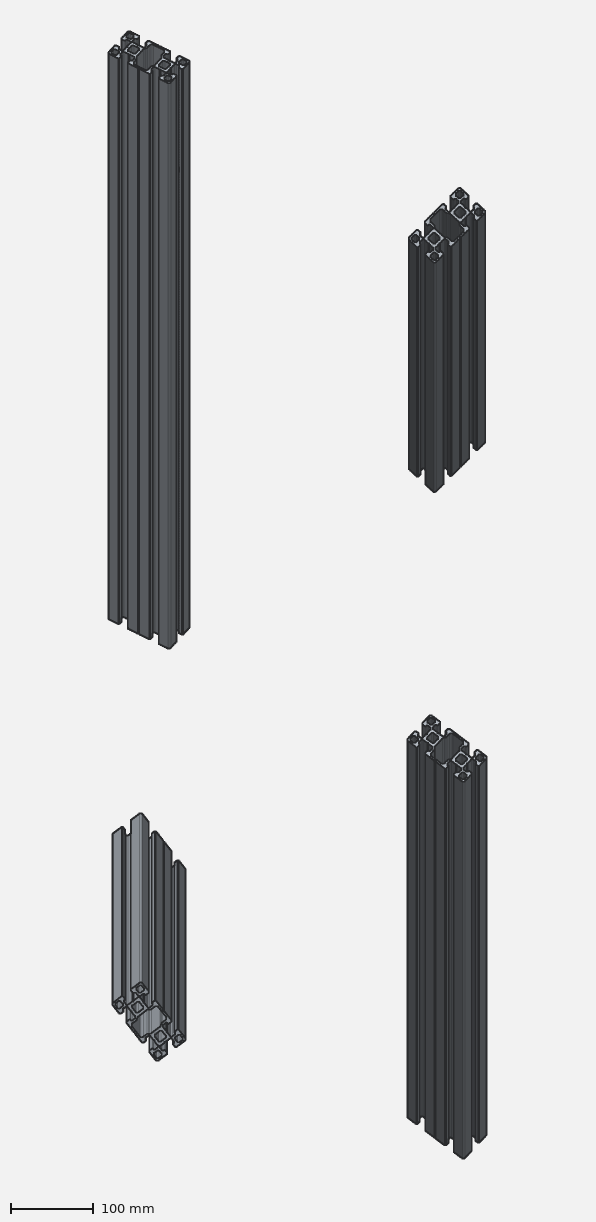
import cadquery as cq

LENGTH = 1000.0
WIDTH = 90.0
DEPTH = 45.0
CORNER_RADIUS = 2.5

SLOT_OFFSET = WIDTH / 4
OPENING_WIDTH = 12.0
LIP_CHAMFER = 1.0
LIP_THICKNESS = 6.0
LIP_INNER_RADIUS = 0.5
CAVITY_WIDTH = 18.0
CAVITY_RADIUS = 1.5
SLOT_DEPTH = 13.0

GROOVE_WIDTH = 2.0
GROOVE_DEPTH = 0.7

CORNER_WALL = 2.5
CORNER_HOLLOW_SIZE = 8.0
CORNER_HOLLOW_RADIUS = 2.0

CORE_HOLLOW_SIZE = 11.0
CORE_HOLLOW_RADIUS = 2.0

CENTRE_WALL = 2.6
CENTRE_NARROW_WIDTH = 21.0
CENTRE_WIDE_WIDTH = 26.0
CENTRE_WIDE_DEPTH = 16.0
CENTRE_STEP_RISE = 2.5
CENTRE_RADIUS = 3.0

Z_BOTTOM = -LENGTH / 2


def base_plane():
    """Workplane at the lower end of the profile."""
    return cq.Workplane("XY", origin=(0, 0, Z_BOTTOM))


def bar(width, depth, radius, x=0, y=0):
    """Full-length rectangular bar with rounded corners and its axis at (x, y)."""
    return base_plane().center(x, y).rect(width, depth).extrude(LENGTH).edges("|Z").fillet(radius)


def prism(points):
    """Full-length prism with the given closed outline."""
    return base_plane().polyline(points).close().extrude(LENGTH)


def turn(solid, angle):
    """Turn a solid about the Z axis."""
    return solid.rotate((0, 0, 0), (0, 0, 1), angle)


def marking_groove():
    """V groove that opens upward (+Y) at the origin."""
    return prism([(-GROOVE_WIDTH / 2, 0), (0, -GROOVE_DEPTH), (GROOVE_WIDTH / 2, 0)])


def t_slot():
    """T-slot that opens upward (+Y), with the middle of its opening at the origin."""
    half_opening = OPENING_WIDTH / 2
    mouth_half_width = half_opening + LIP_CHAMFER
    mouth = prism([
        (-mouth_half_width, 0),
        (-half_opening, -LIP_CHAMFER),
        (half_opening, -LIP_CHAMFER),
        (mouth_half_width, 0),
    ])
    cavity_depth = SLOT_DEPTH - LIP_THICKNESS
    cavity = bar(CAVITY_WIDTH, cavity_depth, CAVITY_RADIUS, y=-LIP_THICKNESS - cavity_depth / 2)
    opening_depth = LIP_THICKNESS + cavity_depth / 2 - LIP_CHAMFER
    opening = (
        base_plane()
        .center(0, -LIP_CHAMFER - opening_depth / 2)
        .rect(OPENING_WIDTH, opening_depth)
        .extrude(LENGTH)
    )
    slot = cavity.union(opening)
    reach = LIP_INNER_RADIUS
    lip_edges = cq.selectors.BoxSelector(
        (-half_opening - reach, -LIP_THICKNESS - reach, -LENGTH),
        (half_opening + reach, -LIP_THICKNESS + reach, LENGTH),
    )
    slot = slot.edges("|Z").edges(lip_edges).fillet(LIP_INNER_RADIUS)
    return slot.union(mouth).union(marking_groove().translate((0, -SLOT_DEPTH, 0)))


def centre_hollow():
    """Central hollow with a wide middle and narrower ends."""
    half_narrow = CENTRE_NARROW_WIDTH / 2
    half_wide = CENTRE_WIDE_WIDTH / 2
    step_y = CENTRE_WIDE_DEPTH / 2
    right_side = [
        (half_narrow, DEPTH / 2 - CENTRE_WALL),
        (half_narrow, step_y + CENTRE_STEP_RISE),
        (half_wide, step_y),
        (half_wide, -step_y),
        (half_narrow, -step_y - CENTRE_STEP_RISE),
        (half_narrow, -DEPTH / 2 + CENTRE_WALL),
    ]
    left_side = [(-x, y) for x, y in reversed(right_side)]
    return prism(right_side + left_side).edges("|Z").fillet(CENTRE_RADIUS)


profile = bar(WIDTH, DEPTH, CORNER_RADIUS)

slot = t_slot()
for angle, face_y in ((0, DEPTH / 2), (180, -DEPTH / 2)):
    for slot_x in (-SLOT_OFFSET, SLOT_OFFSET):
        profile = profile.cut(turn(slot, angle).translate((slot_x, face_y, 0)))
    profile = profile.cut(turn(marking_groove(), angle).translate((0, face_y, 0)))

for angle, face_x in ((90, -WIDTH / 2), (-90, WIDTH / 2)):
    profile = profile.cut(turn(slot, angle).translate((face_x, 0, 0)))

corner_inset = CORNER_WALL + CORNER_HOLLOW_SIZE / 2
for side in (-1, 1):
    profile = profile.cut(
        bar(CORE_HOLLOW_SIZE, CORE_HOLLOW_SIZE, CORE_HOLLOW_RADIUS, x=side * SLOT_OFFSET)
    )
    for end in (-1, 1):
        corner_x = side * (WIDTH / 2 - corner_inset)
        corner_y = end * (DEPTH / 2 - corner_inset)
        profile = profile.cut(
            bar(CORNER_HOLLOW_SIZE, CORNER_HOLLOW_SIZE, CORNER_HOLLOW_RADIUS, corner_x, corner_y)
        )
profile = profile.cut(centre_hollow())

result = profile